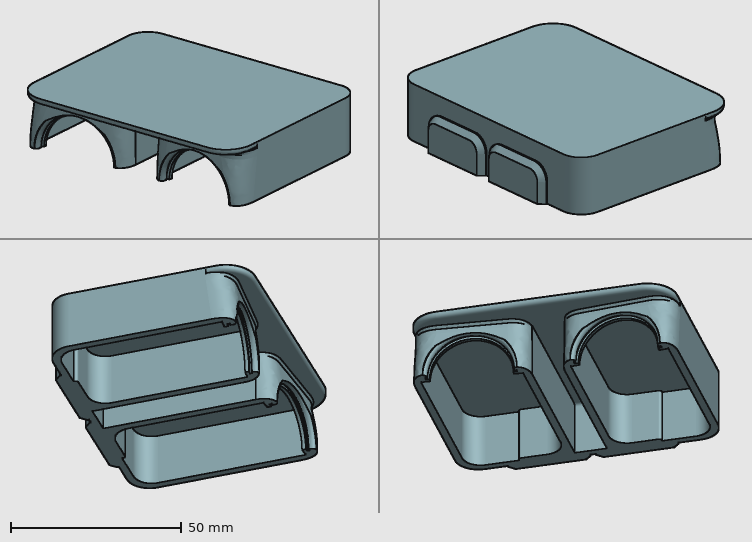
import math

import cadquery as cq

length = 80.0
depth = 62.0
height = 18.5
wall = 2.4
front_corner_radius = 9.1
back_corner_radius = 7.1

lid_thickness = 2.0
lid_edge_fillet = 1.2
lid_underside = height - lid_thickness

pod_gap = 9.8
gap_half = pod_gap / 2
pod_outer_x = -length / 2
pod_inner_x = -gap_half
pod_turn = 5.0
pod_slope = math.tan(math.radians(pod_turn))
body_front = 12.2
pod_overlap = 17.6
pod_sections = [
    (0.0, 4.1, 10.4, 4.8, 5.2),
    (6.4, 4.2, 11.3, 5.8, 5.6),
    (14.1, 5.2, body_front, 7.9, 6.2),
]
lid_joint = 1.0
joint_spread = 0.6

arch_x = -22.1
mouth_y = 5.5
arch_radius = 13.0
mouth_round = 1.1
groove_radius = 13.6
groove_start = 1.9
rib_radius = 12.5
rib_start = 2.6
rib_end = 3.8

bay_outer_x = pod_outer_x + wall
bay_inner_x = pod_inner_x - wall
bay_back = depth - wall
bay_corner_radius = 5.6
step_x = -21.8
step_depth = 1.2
step_radius = 0.9

boss_x = 13.4
boss_width = 25.1
boss_height = 12.2
boss_projection = 2.3
boss_corner_radius = 5.1
boss_chamfer = 1.8


def box_between(x_range, y_range, z_range):
    """Axis-aligned box between two corners."""
    size = [high - low for low, high in (x_range, y_range, z_range)]
    start = (x_range[0], y_range[0], z_range[0])
    return cq.Workplane("XY").box(*size, centered=False).translate(start)


def both_sides(solid):
    """The left-hand solid together with its mirror image."""
    return solid.union(solid.mirror("YZ"))


def make_lid():
    """Rounded plate with a rounded lower edge."""
    lid = box_between((-length / 2, length / 2), (0, depth), (lid_underside, height))
    lid = lid.edges("|Z and <Y").fillet(front_corner_radius)
    lid = lid.edges("|Z and >Y").fillet(back_corner_radius)
    return lid.faces("<Z").edges().fillet(lid_edge_fillet)


def make_body():
    """Block behind the pods with rounded back corners."""
    body = box_between((-length / 2, length / 2), (body_front, depth), (0, height))
    return body.edges("|Z and >Y").fillet(back_corner_radius)


def pod_outline(plane, front_y, corner_y, outer_width, inner_width):
    """Pod section with a slanted front and two oval front corners."""
    front_start = pod_outer_x + outer_width
    front_end = pod_inner_x - inner_width
    front_rise = (front_end - front_start) * pod_slope
    along_front = (1, pod_slope)
    return (
        plane.moveTo(pod_outer_x, pod_overlap)
        .lineTo(pod_outer_x, corner_y)
        .spline([(front_start, front_y)], [(0, -1), along_front], includeCurrent=True)
        .lineTo(front_end, front_y + front_rise)
        .spline([(pod_inner_x, corner_y + front_rise)], [along_front, (0, 1)], includeCurrent=True)
        .lineTo(pod_inner_x, pod_overlap)
        .close()
    )


def make_pod():
    """Left pod: curved lower part, straight neck and spread joint under the lid."""
    plane = cq.Workplane("XY")
    previous_z = 0.0
    for z, *section in pod_sections:
        plane = pod_outline(plane.workplane(offset=z - previous_z), *section)
        previous_z = z
    lower = plane.loft()
    top_z, front_y, corner_y, *widths = pod_sections[-1]
    joint_z = lid_underside - lid_joint
    neck = pod_outline(cq.Workplane("XY", origin=(0, 0, top_z)), front_y, corner_y, *widths)
    neck = neck.extrude(joint_z - top_z)
    joint = pod_outline(cq.Workplane("XY", origin=(0, 0, joint_z)), front_y, corner_y, *widths)
    joint = pod_outline(joint.workplane(offset=lid_joint), front_y - joint_spread, corner_y, *widths)
    return lower.union(neck).union(joint.loft(ruled=True))


def place_at_mouth(solid):
    """Turn a solid built about the origin to face out of the left pod."""
    return solid.rotate((0, 0, 0), (0, 0, 1), pod_turn).translate((arch_x, mouth_y, 0))


def make_arch():
    """Revolved opening: rounded mouth, throat, seal groove and rib."""
    inset = mouth_round * (1 - math.sqrt(0.5))
    mouth_radius = arch_radius + mouth_round
    profile = (
        cq.Workplane("XY")
        .moveTo(0, -mouth_y)
        .lineTo(mouth_radius, -mouth_y)
        .lineTo(mouth_radius, 0)
        .threePointArc((arch_radius + inset, inset), (arch_radius, mouth_round))
        .lineTo(arch_radius, groove_start)
        .lineTo(groove_radius, groove_start)
        .lineTo(groove_radius, rib_start)
        .lineTo(rib_radius, rib_start)
        .lineTo(rib_radius, rib_end)
        .lineTo(0, rib_end)
        .close()
    )
    return place_at_mouth(profile.revolve(360, (0, 0), (0, 1)))


def make_bay():
    """Open-bottomed compartment with a shallow step in its back wall."""
    step_front = bay_back - step_depth
    deep = box_between((bay_outer_x, step_x), (0, bay_back), (0, lid_underside))
    deep = deep.edges("|Z and >Y and <X").fillet(bay_corner_radius)
    shallow = box_between((step_x, bay_inner_x), (0, step_front), (0, lid_underside))
    shallow = shallow.edges("|Z and >Y and >X").fillet(bay_corner_radius)
    bay = deep.union(shallow)
    step_edge = cq.selectors.NearestToPointSelector((step_x, step_front, lid_underside / 2))
    bay = bay.edges(step_edge).fillet(step_radius)
    front_wall = box_between((-length, length), (-length, rib_end), (-height, height))
    return bay.cut(place_at_mouth(front_wall))


def make_boss():
    """Left back boss with rounded upper corners and a chamfered rim."""
    boss = box_between(
        (-boss_x - boss_width / 2, -boss_x + boss_width / 2),
        (depth - wall, depth + boss_projection),
        (0, boss_height),
    )
    boss = boss.edges("|Y and >Z").fillet(boss_corner_radius)
    return boss.faces(">Y").edges("not <Z").chamfer(boss_chamfer)


gap = box_between((-gap_half, gap_half), (0, bay_back), (0, lid_underside))
gap = gap.edges(">Y and >Z").fillet(lid_joint)

result = make_body().cut(gap).union(make_lid())
result = result.union(both_sides(make_pod().cut(make_arch())))
result = result.union(both_sides(make_boss()))
result = result.cut(both_sides(make_bay()))